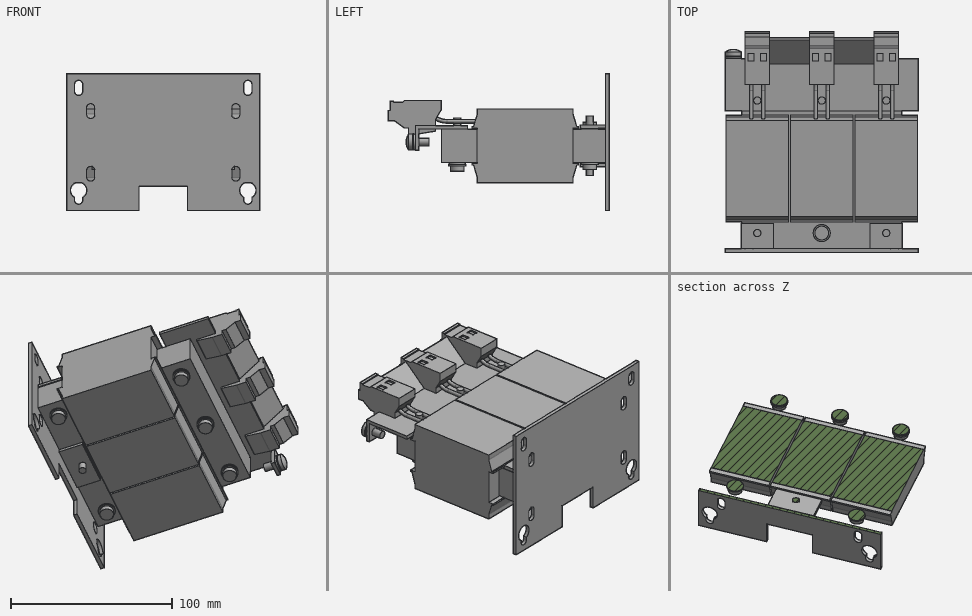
import cadquery as cq
import math


PLATE_WIDTH = 120.0
PLATE_HEIGHT = 85.0
PLATE_THICK = 2.4
NOTCH_WIDTH = 30.0
NOTCH_HEIGHT = 15.0
SLOT_WIDTH = 5.0
SLOT_LENGTH = 9.2
MOUNT_X = 52.5
MOUNT_SLOT_Z = 76.1
INNER_SLOT_X = 45.0
INNER_SLOT_Z = (22.8, 61.7)
KEYHOLE_Z = 12.5
KEYHOLE_DIA = 10.0
KEYHOLE_SLOT_BOTTOM = 4.0

MID_Z = 40.15
CORE_WIDTH = 99.5
CORE_HEIGHT = 20.7
CORE_REAR_Y = 104.2
CORE_TOP = MID_Z + CORE_HEIGHT / 2
CORE_BOTTOM = MID_Z - CORE_HEIGHT / 2

PITCH = 40.0
PHASE_X = (-PITCH, 0.0, PITCH)
COIL_WIDTH = 39.0
COIL_FRONT_Y = 22.4
COIL_REAR_Y = 81.9
COIL_MID_Y = (COIL_FRONT_Y + COIL_REAR_Y) / 2
COIL_HALF_LENGTH = (COIL_REAR_Y - COIL_FRONT_Y) / 2
COIL_HALF_HEIGHT = 22.95
FLANGE_SLOPE_START = 19.6
FLANGE_SLOPE_END = 12.0
FLANGE_INNER = 10.9
FLANGE_SLOPE_REACH = 2.3
FLANGE_REACH = 3.3

TAB_THICK = 2.2
TAB_GAP = 0.45
TAB_END_Y = 18.0
TAB_WIDTH = 20.0
LOWER_TAB_WIDTH = NOTCH_WIDTH

FRONT_BOLT_Y = 12.1
REAR_BOLT_Y = 94.3
BOLT_DIA = 4.5
FRONT_BOLT_REACH = 8.2
REAR_BOLT_REACH = 7.0
WASHER_DIA = 10.6
WASHER_THICK = 1.1
INNER_WASHER_DIA = 10.2
HEAD_DIA = 8.6
HEAD_HEIGHT = 3.3

BRACKET_WIDTH = PLATE_WIDTH
BRACKET_THICK = 2.2
BRACKET_FRONT_Y = 87.9
BRACKET_REAR_Y = 120.3
BRACKET_TOP = CORE_TOP + BRACKET_THICK
EARTH_TAB_WIDTH = 10.2
EARTH_TAB_BOTTOM = 37.4
RAMP_START_Y = 117.0
RAMP_LENGTH = 20.3
RAMP_ANGLE = 43.0
RAMP_WIDTH = 2 * PITCH

EARTH_SCREW_X = -54.9
EARTH_SCREW_Z = 42.5
EARTH_SCREW_DIA = 5.0
EARTH_SCREW_TIP_Y = 111.8
EARTH_HEAD_DIA = 10.0
EARTH_NECK_DIA = 9.2
EARTH_WASHER_THICK = 1.1
EARTH_NECK_LENGTH = 0.6
EARTH_HEAD_LENGTH = 2.4
EARTH_DOME_HEIGHT = 1.7

BLOCK_WIDTH = 15.3
BLOCK_TOP = 68.3
BLOCK_FRONT_Y = CORE_REAR_Y
BLOCK_REAR_Y = 137.1
BLOCK_FOOT_Y = 107.7
FRONT_FACE_BOTTOM = 62.5
FOOT_TOP = 56.4
FOOT_BOTTOM = 49.2
RECESS_FRONT_Y = 127.0
RECESS_DEPTH = 1.1
LIP_FRONT_Y = 133.8
LIP_REAR_Y = 135.9
LIP_TOP = 67.8
STEP_Z = 62.2
OVERHANG_Z = 55.7
OVERHANG_FRONT_Y = 133.3
SHOULDER_REAR_Y = 127.2
SHOULDER_Z = 51.2
CLIP_REAR_Y = 124.6
CLIP_FRONT_Y = BRACKET_REAR_Y - BRACKET_THICK
CLIP_BOTTOM = 47.5
POCKET_SPACING = 7.8
POCKET_WIDTH = 3.6
POCKET_LENGTH = 4.8
POCKET_MID_Y = 121.1
POCKET_DEPTH = 1.0

WIRE_DIA = 2.4
WIRE_SPACING = 7.4
WIRE_Z = 55.3
WIRE_START_Y = COIL_REAR_Y - 1.0
WIRE_BEND_Y = 100.5
WIRE_BEND_RADIUS = 13.7
WIRE_BEND_ANGLE = 36.0


def box(x_mid, width, y0, y1, z0, z1):
    """Box centred on x_mid, spanning y0..y1 and z0..z1."""
    block = cq.Workplane("XY").box(width, y1 - y0, z1 - z0, centered=(True, False, False))
    return block.translate((x_mid, y0, z0))


def prism(points, x_mid, width):
    """Extrude a closed (Y, Z) outline along X, centred on x_mid."""
    outline = cq.Workplane("YZ", origin=(x_mid, 0, 0)).polyline(points).close()
    return outline.extrude(width / 2, both=True)


def rod(x, y, z0, z1, diameter):
    """Vertical cylinder from z0 to z1."""
    return cq.Workplane("XY", origin=(x, y, z0)).circle(diameter / 2).extrude(z1 - z0)


def plate_cut(sketch):
    """Cutter through the plate from an outline drawn on the XZ plane."""
    return sketch.extrude(PLATE_THICK, both=True)


def make_plate():
    plate = box(0, PLATE_WIDTH, 0, PLATE_THICK, 0, PLATE_HEIGHT)
    plate = plate.cut(box(0, NOTCH_WIDTH, 0, PLATE_THICK, 0, NOTCH_HEIGHT))
    slot_centres = [(MOUNT_X, MOUNT_SLOT_Z)] + [(INNER_SLOT_X, z) for z in INNER_SLOT_Z]
    neck_length = KEYHOLE_Z - KEYHOLE_SLOT_BOTTOM
    neck_mid_z = (KEYHOLE_Z + KEYHOLE_SLOT_BOTTOM) / 2
    for side in (-1, 1):
        centres = [(side * x, z) for x, z in slot_centres]
        slots = cq.Workplane("XZ").pushPoints(centres).slot2D(SLOT_LENGTH, SLOT_WIDTH, 90)
        keyhole = cq.Workplane("XZ").center(side * MOUNT_X, KEYHOLE_Z).circle(KEYHOLE_DIA / 2)
        neck = cq.Workplane("XZ").center(side * MOUNT_X, neck_mid_z).slot2D(neck_length, SLOT_WIDTH, 90)
        for sketch in (slots, keyhole, neck):
            plate = plate.cut(plate_cut(sketch))
    return plate


def make_tabs():
    """Two tabs above the core and one below it, all joined to the plate."""
    z0 = CORE_TOP + TAB_GAP
    tabs = box(0, LOWER_TAB_WIDTH, 0, TAB_END_Y, CORE_BOTTOM - TAB_GAP - TAB_THICK, CORE_BOTTOM - TAB_GAP)
    for x in (-PITCH, PITCH):
        tabs = tabs.union(box(x, TAB_WIDTH, 0, TAB_END_Y, z0, z0 + TAB_THICK))
    return tabs


def make_core():
    return box(0, CORE_WIDTH, PLATE_THICK, CORE_REAR_Y, CORE_BOTTOM, CORE_TOP)


def make_coil(x):
    """Coil block whose ends flare into a sloped flange above and below the core."""
    quarter = [
        (COIL_HALF_LENGTH, COIL_HALF_HEIGHT),
        (COIL_HALF_LENGTH, FLANGE_SLOPE_START),
        (COIL_HALF_LENGTH + FLANGE_SLOPE_REACH, FLANGE_SLOPE_END),
        (COIL_HALF_LENGTH + FLANGE_REACH, FLANGE_SLOPE_END),
        (COIL_HALF_LENGTH + FLANGE_REACH, FLANGE_INNER),
        (COIL_HALF_LENGTH, FLANGE_INNER),
    ]
    rear = quarter + [(y, -z) for y, z in reversed(quarter)]
    outline = rear + [(-y, z) for y, z in reversed(rear)]
    return prism([(COIL_MID_Y + y, MID_Z + z) for y, z in outline], x, COIL_WIDTH)


def make_bolt(x, y, reach, washers, head_side):
    """Core bolt: washers and head on one face (head_side +1 up, -1 down), bare shank on the other."""
    face = MID_Z + CORE_HEIGHT / 2
    washer_top = face + washers * WASHER_THICK
    bolt = rod(x, y, CORE_BOTTOM - reach, face, BOLT_DIA)
    bolt = bolt.union(rod(x, y, washer_top, washer_top + HEAD_HEIGHT, HEAD_DIA))
    bolt = bolt.union(rod(x, y, washer_top - WASHER_THICK, washer_top, WASHER_DIA))
    if washers > 1:
        bolt = bolt.union(rod(x, y, face, washer_top - WASHER_THICK, INNER_WASHER_DIA))
    if head_side < 0:
        bolt = bolt.rotate((x, y, MID_Z), (x, y + 1, MID_Z), 180)
    return bolt


def make_bolts():
    bolts = make_bolt(0, FRONT_BOLT_Y, FRONT_BOLT_REACH, 1, 1)
    for x in (-PITCH, PITCH):
        bolts = bolts.union(make_bolt(x, FRONT_BOLT_Y, FRONT_BOLT_REACH, 1, -1))
    for x in PHASE_X:
        bolts = bolts.union(make_bolt(x, REAR_BOLT_Y, REAR_BOLT_REACH, 2, -1))
    return bolts


def make_bracket():
    """Flat sheet on the core with an earth tab bent down and a ramp bent up at the rear."""
    bracket = box(0, BRACKET_WIDTH, BRACKET_FRONT_Y, BRACKET_REAR_Y, CORE_TOP, BRACKET_TOP)
    tab_x = (EARTH_TAB_WIDTH - BRACKET_WIDTH) / 2
    tab_front_y = BRACKET_REAR_Y - BRACKET_THICK
    tab = box(tab_x, EARTH_TAB_WIDTH, tab_front_y, BRACKET_REAR_Y, EARTH_TAB_BOTTOM, BRACKET_TOP)
    ramp = box(0, RAMP_WIDTH, 0, RAMP_LENGTH, -BRACKET_THICK, 0)
    ramp = ramp.rotate((0, 0, 0), (1, 0, 0), RAMP_ANGLE).translate((0, RAMP_START_Y, BRACKET_TOP))
    return bracket.union(tab).union(ramp)


def make_earth_screw():
    """Domed screw with a washer, turned about an axis parallel to Y."""
    washer_end = BRACKET_REAR_Y + EARTH_WASHER_THICK
    neck_end = washer_end + EARTH_NECK_LENGTH
    head_end = neck_end + EARTH_HEAD_LENGTH
    dome_tip = head_end + EARTH_DOME_HEIGHT
    head_radius = EARTH_HEAD_DIA / 2
    neck_radius = EARTH_NECK_DIA / 2
    shank_radius = EARTH_SCREW_DIA / 2
    dome_radius = (head_radius ** 2 + EARTH_DOME_HEIGHT ** 2) / (2 * EARTH_DOME_HEIGHT)
    half_angle = math.asin(head_radius / dome_radius) / 2
    arc_mid = (dome_radius * math.sin(half_angle), dome_tip - dome_radius * (1 - math.cos(half_angle)))
    profile = (
        cq.Workplane("XY")
        .moveTo(0, EARTH_SCREW_TIP_Y)
        .lineTo(shank_radius, EARTH_SCREW_TIP_Y)
        .lineTo(shank_radius, BRACKET_REAR_Y)
        .lineTo(head_radius, BRACKET_REAR_Y)
        .lineTo(head_radius, washer_end)
        .lineTo(neck_radius, washer_end)
        .lineTo(neck_radius, neck_end)
        .lineTo(head_radius, neck_end)
        .lineTo(head_radius, head_end)
        .threePointArc(arc_mid, (0, dome_tip))
        .close()
    )
    screw = profile.revolve(360, (0, 0, 0), (0, 1, 0))
    return screw.translate((EARTH_SCREW_X, 0, EARTH_SCREW_Z))


def make_block(x):
    """Terminal block clipped onto the bracket, with two pockets in its top face."""
    recess_z = BLOCK_TOP - RECESS_DEPTH
    outline = [
        (BLOCK_FRONT_Y, BLOCK_TOP),
        (RECESS_FRONT_Y, BLOCK_TOP),
        (RECESS_FRONT_Y + RECESS_DEPTH, recess_z),
        (LIP_FRONT_Y, recess_z),
        (LIP_FRONT_Y, LIP_TOP),
        (LIP_REAR_Y, LIP_TOP),
        (LIP_REAR_Y, STEP_Z),
        (BLOCK_REAR_Y, STEP_Z),
        (BLOCK_REAR_Y, OVERHANG_Z),
        (OVERHANG_FRONT_Y, OVERHANG_Z),
        (SHOULDER_REAR_Y, SHOULDER_Z),
        (CLIP_REAR_Y, SHOULDER_Z),
        (CLIP_REAR_Y, CLIP_BOTTOM),
        (CLIP_FRONT_Y, CLIP_BOTTOM),
        (BLOCK_FOOT_Y, FOOT_BOTTOM),
        (BLOCK_FOOT_Y, FOOT_TOP),
        (BLOCK_FRONT_Y, FRONT_FACE_BOTTOM),
    ]
    block = prism(outline, x, BLOCK_WIDTH)
    y0 = POCKET_MID_Y - POCKET_LENGTH / 2
    y1 = POCKET_MID_Y + POCKET_LENGTH / 2
    for side in (-1, 1):
        pocket_x = x + side * POCKET_SPACING / 2
        block = block.cut(box(pocket_x, POCKET_WIDTH, y0, y1, BLOCK_TOP - POCKET_DEPTH, BLOCK_TOP))
    return block


def make_wire(x):
    """Lead that leaves the coil level and bends up into the terminal block."""
    def bend_point(angle):
        turn = math.radians(angle)
        y = WIRE_BEND_Y + WIRE_BEND_RADIUS * math.sin(turn)
        z = WIRE_Z + WIRE_BEND_RADIUS * (1 - math.cos(turn))
        return (y, z)

    path = (
        cq.Workplane("YZ", origin=(x, 0, 0))
        .moveTo(WIRE_START_Y, WIRE_Z)
        .lineTo(WIRE_BEND_Y, WIRE_Z)
        .threePointArc(bend_point(WIRE_BEND_ANGLE / 2), bend_point(WIRE_BEND_ANGLE))
    )
    section = cq.Workplane("XZ", origin=(x, WIRE_START_Y, WIRE_Z)).circle(WIRE_DIA / 2)
    return section.sweep(path)


def make_part():
    part = make_plate().union(make_tabs()).union(make_core())
    part = part.union(make_bracket()).union(make_bolts()).union(make_earth_screw())
    for x in PHASE_X:
        part = part.union(make_coil(x)).union(make_block(x))
        for side in (-1, 1):
            part = part.union(make_wire(x + side * WIRE_SPACING / 2))
    return part


result = make_part()